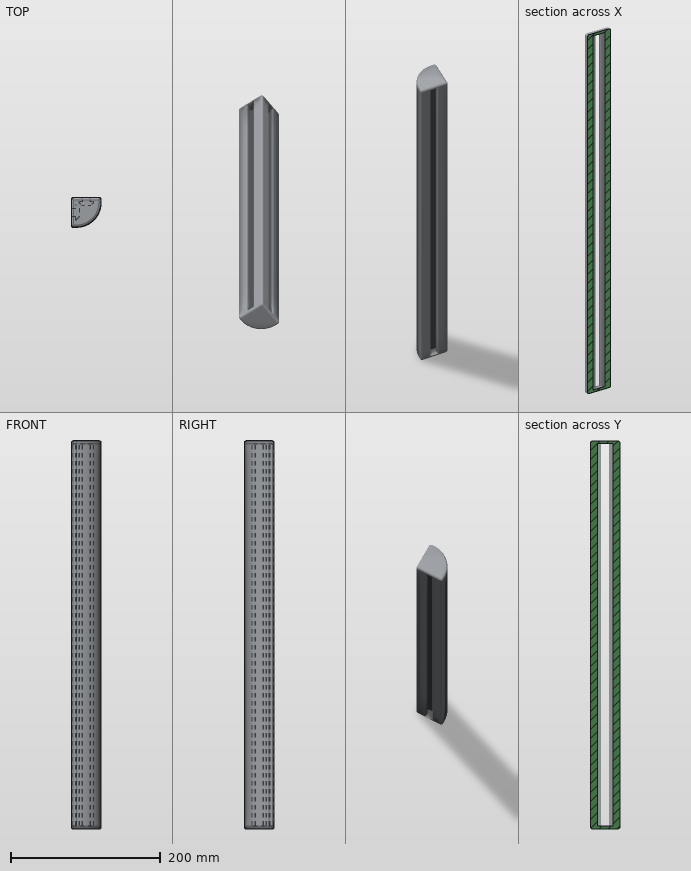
import cadquery as cq
import math

length = 518.0
side = 40.0
corner_radius = 2.5
flat_length = 6.5
cap_thickness = 4.0
cap_edge_radius = 3.0

slot_opening = 10.5
mouth_chamfer = 0.8
lip_thickness = 5.5
cavity_width = 19.5
taper_start_depth = 6.5
slot_depth = 11.0

arc_radius = side - flat_length
body_length = length - 2 * cap_thickness


def quarter_round(height):
    """Quarter-round bar with its square corner at -X +Y and its arc at +X -Y."""
    mid_offset = arc_radius / math.sqrt(2)
    half = side / 2
    arc_center_x = half - arc_radius
    arc_center_y = arc_radius - half
    return (
        cq.Workplane("XY")
        .moveTo(-half, half)
        .lineTo(-half, -half)
        .lineTo(arc_center_x, -half)
        .threePointArc(
            (arc_center_x + mid_offset, arc_center_y - mid_offset),
            (half, arc_center_y),
        )
        .lineTo(half, half)
        .close()
        .extrude(height)
        .edges("|Z and (<X or >Y)")
        .fillet(corner_radius)
    )


def t_slot():
    """T-slot cutter opening through the -X side, along the whole body."""
    face_x = -side / 2
    taper = slot_depth - taper_start_depth
    upper_half = [
        (face_x, slot_opening / 2 + mouth_chamfer),
        (face_x + mouth_chamfer, slot_opening / 2),
        (face_x + lip_thickness, slot_opening / 2),
        (face_x + lip_thickness, cavity_width / 2),
        (face_x + taper_start_depth, cavity_width / 2),
        (face_x + slot_depth, cavity_width / 2 - taper),
    ]
    lower_half = [(x, -y) for x, y in reversed(upper_half)]
    return cq.Workplane("XY").polyline(upper_half + lower_half).close().extrude(body_length)


slot_in_left_side = t_slot()
slot_in_back_side = slot_in_left_side.rotate((0, 0, 0), (0, 0, 1), -90)
body = quarter_round(body_length).cut(slot_in_left_side).cut(slot_in_back_side)

top_cap = quarter_round(cap_thickness).faces(">Z").edges().fillet(cap_edge_radius)
bottom_cap = top_cap.mirror("XY")

result = (
    body.union(top_cap.translate((0, 0, body_length)), clean=False)
    .union(bottom_cap, clean=False)
    .translate((0, 0, -body_length / 2))
)